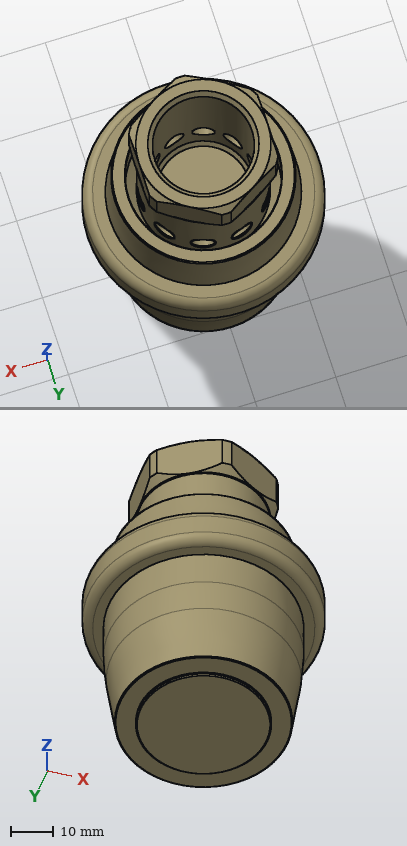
import cadquery as cq
import math

total_height = 82.0
foot_radius = 16.1
foot_height = 0.8
foot_chamfer = 0.3

body_radius = 23.7
body_taper = math.radians(8)
arc_top_z = 24.3
arc_bottom_z = 15.7
body_edge_chamfer = 0.25

flange_radius = 57.5 / 2
flange_bottom_z = 33.8
flange_top_z = 44.3
flange_fillet = 2.5

collar_base_radius = 23.2
collar_taper = math.radians(6)
collar_top_z = 57.2
collar_edge_chamfer = 0.3
well_radius = 37.0 / 2
well_wall_depth = 8.5
well_mouth_chamfer = 0.2

neck_radius = 31.7 / 2
hole_count = 10
hole_mouth_diameter = 6.1
hole_mouth_depth = 0.3
hole_lip = 0.3
hole_z = 53.7

hex_flats = 32.0
hex_corner_radius = 35.7 / 2
hex_bottom_z = 71.0
hex_top_angle = math.radians(30)
hex_bottom_angle = math.radians(45)
washer_height = 0.3

bore_radius = 12.05
bore_mouth_radius = 26.3 / 2
bore_floor_z = 45.1
bore_floor_bevel = 1.0


def revolve_profile(profile):
    """Turn a closed radius-height profile about the Z axis."""
    return profile.close().revolve(360, (0, 0, 0), (0, 1, 0))


def make_body():
    arc_radius = (arc_top_z - arc_bottom_z) / math.sin(body_taper)
    half_taper = body_taper / 2
    arc_middle = (
        body_radius - arc_radius * (1 - math.cos(half_taper)),
        arc_top_z - arc_radius * math.sin(half_taper),
    )
    arc_end_radius = body_radius - arc_radius * (1 - math.cos(body_taper))
    edge_z = foot_height + body_edge_chamfer
    edge_radius = arc_end_radius - (arc_bottom_z - edge_z) * math.tan(body_taper)
    collar_edge_z = collar_top_z - collar_edge_chamfer
    collar_edge_radius = collar_base_radius - (collar_edge_z - flange_top_z) * math.tan(collar_taper)
    profile = (
        cq.Workplane("XZ")
        .moveTo(0, 0)
        .lineTo(foot_radius - foot_chamfer, 0)
        .lineTo(foot_radius, foot_chamfer)
        .lineTo(foot_radius, foot_height)
        .lineTo(edge_radius - body_edge_chamfer, foot_height)
        .lineTo(edge_radius, edge_z)
        .lineTo(arc_end_radius, arc_bottom_z)
        .threePointArc(arc_middle, (body_radius, arc_top_z))
        .lineTo(body_radius, flange_top_z)
        .lineTo(collar_base_radius, flange_top_z)
        .lineTo(collar_edge_radius, collar_edge_z)
        .lineTo(collar_edge_radius - collar_edge_chamfer, collar_top_z)
        .lineTo(0, collar_top_z)
    )
    return revolve_profile(profile)


def make_flange():
    flange = (
        cq.Workplane("XY")
        .workplane(offset=flange_bottom_z)
        .circle(flange_radius)
        .extrude(flange_top_z - flange_bottom_z)
    )
    return flange.edges().fillet(flange_fillet)


def cut_well(body):
    """Sink a well around the neck; its floor slopes down at 45 degrees to the neck."""
    wall_bottom_z = collar_top_z - well_wall_depth
    floor_z = wall_bottom_z - (well_radius - neck_radius)
    profile = (
        cq.Workplane("XZ")
        .moveTo(neck_radius, floor_z)
        .lineTo(well_radius, wall_bottom_z)
        .lineTo(well_radius, collar_top_z - well_mouth_chamfer)
        .lineTo(well_radius + well_mouth_chamfer, collar_top_z)
        .lineTo(neck_radius, collar_top_z)
    )
    return body.cut(revolve_profile(profile))


def make_neck():
    return (
        cq.Workplane("XY")
        .workplane(offset=flange_top_z)
        .circle(neck_radius)
        .extrude(hex_bottom_z - flange_top_z)
    )


def make_hex_head():
    """Hexagonal head whose corners are rounded and bevelled at both ends."""
    face_radius = hex_flats / 2
    corner_depth = hex_corner_radius - face_radius
    washer_bottom_z = hex_bottom_z - washer_height
    hexagon = (
        cq.Workplane("XY")
        .workplane(offset=washer_bottom_z)
        .polygon(6, hex_flats / math.cos(math.pi / 6))
        .extrude(total_height - washer_bottom_z)
        .rotate((0, 0, 0), (0, 0, 1), 30)
    )
    profile = (
        cq.Workplane("XZ")
        .moveTo(0, washer_bottom_z)
        .lineTo(face_radius, washer_bottom_z)
        .lineTo(face_radius, hex_bottom_z)
        .lineTo(hex_corner_radius, hex_bottom_z + corner_depth * math.tan(hex_bottom_angle))
        .lineTo(hex_corner_radius, total_height - corner_depth * math.tan(hex_top_angle))
        .lineTo(face_radius, total_height)
        .lineTo(0, total_height)
    )
    return hexagon.intersect(revolve_profile(profile))


def make_bore():
    mouth_depth = bore_mouth_radius - bore_radius
    profile = (
        cq.Workplane("XZ")
        .moveTo(0, bore_floor_z)
        .lineTo(bore_radius - bore_floor_bevel, bore_floor_z)
        .lineTo(bore_radius, bore_floor_z + bore_floor_bevel)
        .lineTo(bore_radius, total_height - mouth_depth)
        .lineTo(bore_mouth_radius, total_height)
        .lineTo(0, total_height)
    )
    return revolve_profile(profile)


def make_neck_holes():
    """Radial holes through the neck wall with a shallow wider mouth, the first one along +X."""
    mouth_radius = hole_mouth_diameter / 2
    hole = (
        cq.Workplane("YZ")
        .center(0, hole_z)
        .circle(mouth_radius - hole_lip)
        .extrude(neck_radius)
        .faces(">X")
        .workplane(offset=-hole_mouth_depth)
        .circle(mouth_radius)
        .extrude(2 * hole_mouth_depth)
    )
    holes = hole
    for index in range(1, hole_count):
        holes = holes.union(hole.rotate((0, 0, 0), (0, 0, 1), index * 360 / hole_count))
    return holes


result = cut_well(make_body().union(make_flange()))
result = result.union(make_neck()).union(make_hex_head())
result = result.cut(make_bore()).cut(make_neck_holes())